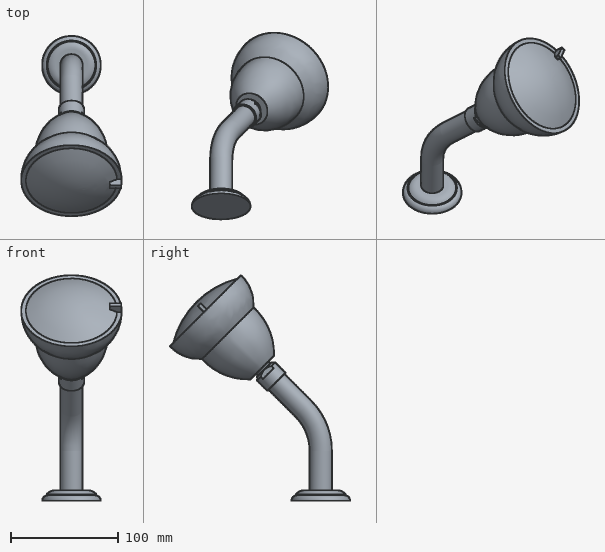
import cadquery as cq
import math


flange_diameter = 55.0
flange_radius = flange_diameter / 2
flange_step_radius = 22.1
lower_tier_height = flange_radius - flange_step_radius
upper_tier_bottom = 6.3
upper_tier_radius = 23.2
flange_top_radius = 15.4
flange_height = 10.1

arm_radius = 10.5
bend_start = 46.8
bend_radius = 55.6
tilt = math.radians(45)
bend_end_y = -bend_radius * (1 - math.cos(tilt))
bend_end_z = bend_start + bend_radius * math.sin(tilt)

collar_start = 35.5
flat_start = 46.1
collar_end = 51.6
head_start = 54.2
waist = 99.5
rim = 129.2

collar_radius = 12.0
collar_chamfer = 2.5
flat_distance = 9.7

neck_radius = 7.8
neck_flare_radius = 8.9
head_back_radius = 15.8
bowl_mid_radius = 30.3
bowl_mid = 75.9
waist_radius = 34.1
bell_mid_radius = 43.6
bell_mid = 112.3
rim_radius = 47.0

dome_radius = 42.5
dome_height = 11.5
tab_inner_x = 35.8
tab_outer_x = 46.5
tab_width = 3.8
tab_height = 8.0

head_frame = cq.Plane(
    origin=(0, bend_end_y, bend_end_z),
    xDir=(1, 0, 0),
    normal=(0, -math.sin(tilt), math.cos(tilt)),
)


def revolve_about_z(profile):
    """Turn a closed (radius, height) outline on the XZ plane about Z."""
    return profile.revolve(360, (0, 0, 0), (0, 1, 0))


def on_head_axis(body):
    """Move a body built along Z onto the tilted axis."""
    return body.val().located(cq.Location(head_frame))


def arc_tangent_to_top(start, end):
    """Middle point of a convex arc from start up to end, level at end."""
    run = start[0] - end[0]
    rise = end[1] - start[1]
    radius = (run**2 + rise**2) / (2 * rise)
    half_angle = math.asin(run / radius) / 2
    return (
        end[0] + radius * math.sin(half_angle),
        end[1] - radius * (1 - math.cos(half_angle)),
    )


def make_flange():
    lower_start = (flange_radius, 0)
    lower_end = (flange_step_radius, lower_tier_height)
    upper_start = (upper_tier_radius, upper_tier_bottom)
    upper_end = (flange_top_radius, flange_height)
    profile = (
        cq.Workplane("XZ")
        .lineTo(*lower_start)
        .threePointArc(arc_tangent_to_top(lower_start, lower_end), lower_end)
        .lineTo(flange_step_radius, upper_tier_bottom)
        .lineTo(*upper_start)
        .threePointArc(arc_tangent_to_top(upper_start, upper_end), upper_end)
        .lineTo(0, flange_height)
        .close()
    )
    return revolve_about_z(profile).val()


def make_arm():
    bend_mid = (
        -bend_radius * (1 - math.cos(tilt / 2)),
        bend_start + bend_radius * math.sin(tilt / 2),
    )
    arm_end = (
        bend_end_y - collar_start * math.sin(tilt),
        bend_end_z + collar_start * math.cos(tilt),
    )
    path = (
        cq.Workplane("YZ")
        .moveTo(0, flange_height)
        .lineTo(0, bend_start)
        .threePointArc(bend_mid, (bend_end_y, bend_end_z))
        .lineTo(*arm_end)
    )
    section = cq.Workplane("XY").workplane(offset=flange_height).circle(arm_radius)
    return section.sweep(path).val()


def make_collar():
    collar = (
        cq.Workplane("XY")
        .workplane(offset=collar_start)
        .circle(collar_radius)
        .extrude(collar_end - collar_start)
        .faces(">Z")
        .chamfer(collar_chamfer)
    )
    flat_depth = collar_radius - flat_distance
    for side in (-1, 1):
        cutter = (
            cq.Workplane("XY")
            .workplane(offset=flat_start)
            .center(side * (flat_distance + flat_depth / 2), 0)
            .rect(flat_depth, 2 * collar_radius)
            .extrude(collar_end - flat_start)
        )
        collar = collar.cut(cutter)
    return on_head_axis(collar)


def make_head():
    profile = (
        cq.Workplane("XZ")
        .moveTo(0, collar_end)
        .lineTo(neck_radius, collar_end)
        .lineTo(neck_flare_radius, head_start)
        .lineTo(head_back_radius, head_start)
        .threePointArc((bowl_mid_radius, bowl_mid), (waist_radius, waist))
        .threePointArc((bell_mid_radius, bell_mid), (rim_radius, rim))
        .lineTo(0, rim)
        .close()
    )
    return on_head_axis(revolve_about_z(profile))


def make_face_plate():
    dome_start = (dome_radius, rim)
    dome_apex = (0, rim + dome_height)
    profile = (
        cq.Workplane("XZ")
        .moveTo(0, rim)
        .lineTo(*dome_start)
        .threePointArc(arc_tangent_to_top(dome_start, dome_apex), dome_apex)
        .close()
    )
    tab = (
        cq.Workplane("XY")
        .workplane(offset=rim)
        .center((tab_inner_x + tab_outer_x) / 2, 0)
        .rect(tab_outer_x - tab_inner_x, tab_width)
        .extrude(tab_height)
    )
    plate = revolve_about_z(profile).union(tab)
    return on_head_axis(cq.Workplane(plate.solids().val()))


flange = make_flange()
arm = make_arm()
collar = make_collar()
head = make_head()
face_plate = make_face_plate()

result = cq.Compound.makeCompound([flange, arm, collar, head, face_plate])